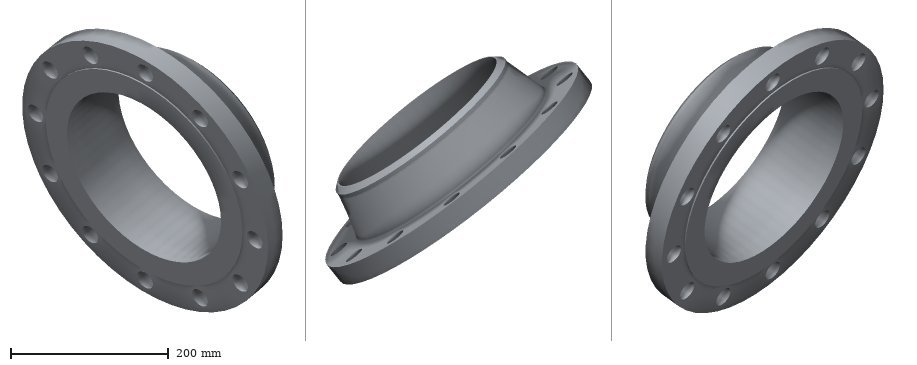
import cadquery as cq

flange_diameter = 406.5
total_length = 101.5
bore_diameter = 254.5

raised_face_diameter = 324.5
raised_face_height = 2.0
flange_back = 31.0

neck_base_radius = 152.5
weld_end_radius = 136.5
weld_end_length = 12.0
bevel_length = 6.5
bevel_depth = 7.7
blend_radius = 4.0

bolt_count = 12
bolt_circle_diameter = 362.5
bolt_hole_diameter = 26.0


def make_body():
    """Revolve the half section, with the bore open, about the Y axis."""
    bore_radius = bore_diameter / 2
    flange_radius = flange_diameter / 2
    face_radius = raised_face_diameter / 2
    section = (
        cq.Workplane("XY")
        .moveTo(bore_radius, 0)
        .lineTo(face_radius, 0)
        .lineTo(face_radius, raised_face_height)
        .lineTo(flange_radius, raised_face_height)
        .lineTo(flange_radius, flange_back)
        .lineTo(neck_base_radius, flange_back)
        .lineTo(weld_end_radius, total_length - weld_end_length)
        .lineTo(weld_end_radius, total_length - bevel_length)
        .lineTo(weld_end_radius - bevel_depth, total_length)
        .lineTo(bore_radius, total_length)
        .close()
    )
    return section.revolve(360, (0, 0, 0), (0, 1, 0))


def blend_neck(body):
    """Round both ends of the tapered neck."""
    taper_edges = body.faces("%CONE").faces("<Y").edges("%CIRCLE")
    return taper_edges.fillet(blend_radius)


def make_bolt_holes():
    """Cylinders on the bolt circle, long enough to pass through the flange."""
    return (
        cq.Workplane("XZ")
        .polarArray(bolt_circle_diameter / 2, 0, 360, bolt_count)
        .circle(bolt_hole_diameter / 2)
        .extrude(-flange_back)
    )


result = blend_neck(make_body()).cut(make_bolt_holes())